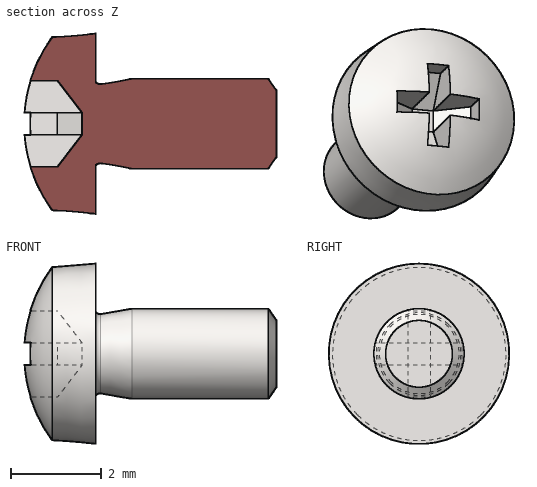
import cadquery as cq
import math

head_height = 1.6
head_radius = 2.0
rim_height = 0.97
rim_radius = 1.92

shank_length = 4.0
shank_radius = 1.0
neck_radius = 0.88
neck_fillet_length = 0.1
neck_fillet_rise = 0.04
neck_end = 0.79
tip_radius = 0.74
tip_length = 0.18

slot_width = 0.49
slot_length = 1.9
end_wall_depth = 0.75
floor_slope = 37.5

dome_rise = head_height - rim_height
dome_sphere_radius = (rim_radius**2 + dome_rise**2) / (2 * dome_rise)
dome_center_x = dome_sphere_radius - head_height


def dome_x(radius):
    """X position of the dome surface at a distance from the screw axis."""
    return dome_center_x - math.sqrt(dome_sphere_radius**2 - radius**2)


def neck_arc_point():
    """Midpoint of the neck fillet, an arc that meets the neck parallel to the axis."""
    arc_radius = (neck_fillet_length**2 + neck_fillet_rise**2) / (2 * neck_fillet_rise)
    half_angle = math.asin(neck_fillet_length / arc_radius) / 2
    x = neck_fillet_length - arc_radius * math.sin(half_angle)
    radius = neck_radius + arc_radius * (1 - math.cos(half_angle))
    return (x, radius)


def make_body():
    """Head, neck and shank revolved about the X axis."""
    half_rim = rim_radius / 2
    neck_root = (0, neck_radius + neck_fillet_rise)
    neck_start = (neck_fillet_length, neck_radius)
    profile = (
        cq.Workplane("XZ")
        .moveTo(-head_height, 0)
        .threePointArc((dome_x(half_rim), half_rim), (-rim_height, rim_radius))
        .lineTo(0, head_radius)
        .lineTo(*neck_root)
        .threePointArc(neck_arc_point(), neck_start)
        .lineTo(neck_end, shank_radius)
        .lineTo(shank_length - tip_length, shank_radius)
        .lineTo(shank_length, tip_radius)
        .lineTo(shank_length, 0)
        .close()
    )
    return profile.revolve(360, (0, 0, 0), (1, 0, 0))


def make_slot():
    """One slot of the recess, long in Z, with end walls and floors sloping to the central square."""
    floor_edge_x = end_wall_depth - head_height
    arm_length = (slot_length - slot_width) / 2
    floor_x = floor_edge_x + arm_length * math.tan(math.radians(floor_slope))
    outline = [
        (-head_height, slot_length / 2),
        (floor_edge_x, slot_length / 2),
        (floor_x, slot_width / 2),
        (floor_x, -slot_width / 2),
        (floor_edge_x, -slot_length / 2),
        (-head_height, -slot_length / 2),
    ]
    return cq.Workplane("XZ").polyline(outline).close().extrude(slot_width / 2, both=True)


slot = make_slot()
crossing_slot = slot.rotate((0, 0, 0), (1, 0, 0), 90)
result = make_body().cut(slot).cut(crossing_slot)